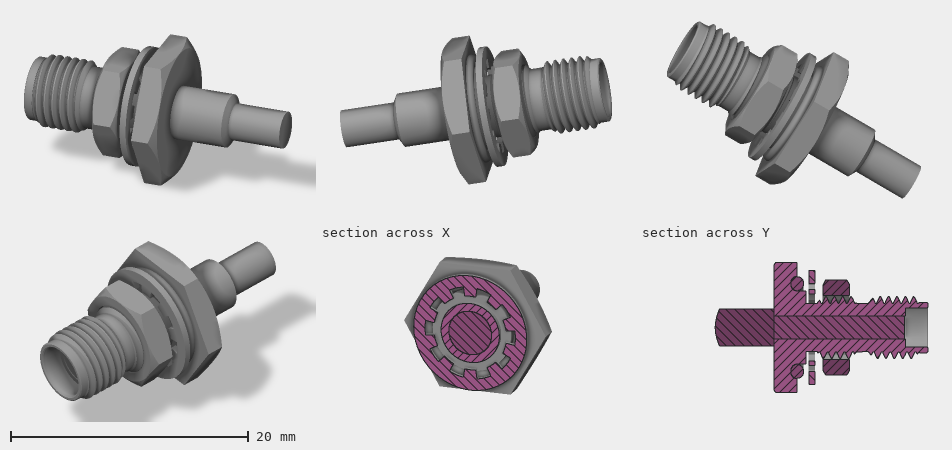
import cadquery as cq
import math

TOTAL_LENGTH = 22.5

TEN_TURNS = 7.06
PITCH = TEN_TURNS / 10
CREST_RADIUS = 3.1
ROOT_RADIUS = 2.63
CREST_WIDTH = 0.1
THREAD_HALF_ANGLE = 30.0
FRONT_RUN = (0.75, 5.02)
REAR_RUN = (6.0, 9.34)
CREST_OFFSET = 0.035
RIDGE_OVERLAP = 0.034

LIP_RADIUS = 2.7
LIP_CHAMFER = 0.1
BORE_RADIUS = 2.3
BORE_DEPTH = 1.9
HEX_START = 10.98
HEX_THICKNESS = 2.0
HEX_END = HEX_START + HEX_THICKNESS
HEX_FLATS = 11.0
HEX_CHAMFER_RADIUS = 5.47
SHOULDER_START = 10.24
SHOULDER_RADIUS = 3.5
SHOULDER_FLAT = 3.13

HEX_CHAMFER_ANGLE = 30.0

INSULATOR_RADIUS = 1.9
INSULATOR_RECESS = 0.1

NUT_START = 6.6
NUT_THICKNESS = 2.25
NUT_FLATS = 8.0
NUT_CHAMFER_RADIUS = 3.95
NUT_BORE_RADIUS = CREST_RADIUS + 0.02

WASHER_START = 9.5
WASHER_THICKNESS = 0.55
WASHER_RADIUS = 5.08
TOOTH_TIP_RADIUS = 3.25
TOOTH_ROOT_RADIUS = 4.03
TOOTH_COUNT = 10

ORING_SECTION_RADIUS = 0.55
ORING_RADIUS = SHOULDER_RADIUS + ORING_SECTION_RADIUS

FERRULE_RADIUS = 2.27
FERRULE_TAPER_START = 17.55
FERRULE_TAPER_ANGLE = 60.0
TAIL_RADIUS = 1.58


def tan(degrees):
    return math.tan(math.radians(degrees))


def cylinder(start, end, radius):
    return cq.Workplane("YZ", origin=(start, 0, 0)).circle(radius).extrude(end - start)


def revolved(points):
    """Solid of revolution about X from (x, radius) points."""
    return cq.Workplane("XY").polyline(points).close().revolve(360, (0, 0, 0), (1, 0, 0))


def hexagon(start, thickness, flats, chamfer_radius, chamfer_front):
    """Hexagonal prism with corners on +Y and -Y, its rear (and front) corners turned to a cone."""
    corner_radius = flats / math.sqrt(3)
    chamfer_length = (corner_radius - chamfer_radius) * tan(HEX_CHAMFER_ANGLE)
    end = start + thickness
    prism = cq.Workplane("YZ", origin=(start, 0, 0)).polygon(6, 2 * corner_radius).extrude(thickness)
    front = [(start, corner_radius)]
    if chamfer_front:
        front = [(start, chamfer_radius), (start + chamfer_length, corner_radius)]
    rear = [(end - chamfer_length, corner_radius), (end, chamfer_radius)]
    return prism.intersect(revolved([(start, 0), *front, *rear, (end, 0)]))


def thread_ridge(crest_start, length):
    """Trapezoidal helical ridge along X; its crest starts on the -Z side at crest_start."""
    base_radius = ROOT_RADIUS - RIDGE_OVERLAP
    crest_half = CREST_WIDTH / 2
    base_half = crest_half + (CREST_RADIUS - base_radius) * tan(THREAD_HALF_ANGLE)
    helix = cq.Workplane(cq.Wire.makeHelix(PITCH, length, ROOT_RADIUS))
    section = cq.Workplane("XZ").polyline([
        (base_radius, -base_half),
        (CREST_RADIUS, -crest_half),
        (CREST_RADIUS, crest_half),
        (base_radius, base_half),
    ]).close()
    ridge = section.sweep(helix, isFrenet=True)
    return ridge.rotate((0, 0, 0), (0, 1, 0), 90).translate((crest_start, 0, 0))


def thread_run(start, end):
    """Threaded rod from start to end, with a 45 degree lead-in at both ends."""
    crest_start = start + CREST_OFFSET - 2 * PITCH
    ridge_length = end + PITCH - crest_start
    rod = cylinder(crest_start - PITCH, end + 2 * PITCH, ROOT_RADIUS)
    rise = 2 * (CREST_RADIUS - ROOT_RADIUS)
    envelope = revolved([
        (start, 0),
        (start, ROOT_RADIUS),
        (start + rise, ROOT_RADIUS + rise),
        (end - rise, ROOT_RADIUS + rise),
        (end, ROOT_RADIUS),
        (end, 0),
    ])
    return rod.union(thread_ridge(crest_start, ridge_length)).intersect(envelope)


def make_oring():
    """Torus about X, tangent to the round part of the shoulder."""
    return (
        cq.Workplane("XY")
        .center(HEX_START, ORING_RADIUS)
        .circle(ORING_SECTION_RADIUS)
        .revolve(360, (-HEX_START, -ORING_RADIUS, 0), (0.22 - HEX_START, -ORING_RADIUS, 0))
    )


def make_shell():
    front_start, front_end = FRONT_RUN
    rear_start, rear_end = REAR_RUN
    lip = revolved([
        (0, 0),
        (0, LIP_RADIUS - LIP_CHAMFER),
        (LIP_CHAMFER, LIP_RADIUS),
        (front_start, LIP_RADIUS),
        (front_start, 0),
    ])
    neck = cylinder(front_end, rear_start, ROOT_RADIUS)
    rear_neck = cylinder(rear_end, HEX_START, ROOT_RADIUS)
    shoulder = cylinder(SHOULDER_START, HEX_START, SHOULDER_RADIUS)
    above_flat = cq.Workplane("XY", origin=(SHOULDER_START, 0, SHOULDER_FLAT)).rect(
        2 * (HEX_START - SHOULDER_START), 2 * SHOULDER_RADIUS
    ).extrude(SHOULDER_RADIUS)
    flange = hexagon(HEX_START, HEX_THICKNESS, HEX_FLATS, HEX_CHAMFER_RADIUS, chamfer_front=False)
    mating_bore = revolved([
        (0, 0),
        (0, BORE_RADIUS + LIP_CHAMFER),
        (LIP_CHAMFER, BORE_RADIUS),
        (BORE_DEPTH, BORE_RADIUS),
        (BORE_DEPTH, 0),
    ])
    return (
        lip
        .union(thread_run(front_start, front_end))
        .union(neck)
        .union(thread_run(rear_start, rear_end))
        .union(rear_neck)
        .union(shoulder.cut(above_flat))
        .union(flange)
        .cut(make_oring())
        .cut(mating_bore)
        .cut(cylinder(BORE_DEPTH, HEX_END, INSULATOR_RADIUS))
    )


def make_insulator():
    return cylinder(BORE_DEPTH + INSULATOR_RECESS, HEX_END, INSULATOR_RADIUS)


def make_nut():
    body = hexagon(NUT_START, NUT_THICKNESS, NUT_FLATS, NUT_CHAMFER_RADIUS, chamfer_front=True)
    return body.cut(cylinder(NUT_START, NUT_START + NUT_THICKNESS, NUT_BORE_RADIUS))


def make_washer():
    """Ring whose inner edge has teeth as wide as the gaps between them, one tooth on +Z."""
    end = WASHER_START + WASHER_THICKNESS
    pitch_angle = 360 / TOOTH_COUNT
    washer = cylinder(WASHER_START, end, WASHER_RADIUS).cut(cylinder(WASHER_START, end, TOOTH_TIP_RADIUS))
    half_gap = math.radians(pitch_angle / 4)
    y = TOOTH_ROOT_RADIUS * math.sin(half_gap)
    z = TOOTH_ROOT_RADIUS * math.cos(half_gap)
    gap = (
        cq.Workplane("YZ", origin=(WASHER_START, 0, 0))
        .lineTo(-y, z)
        .threePointArc((0, TOOTH_ROOT_RADIUS), (y, z))
        .close()
        .extrude(WASHER_THICKNESS)
    )
    for index in range(TOOTH_COUNT):
        washer = washer.cut(gap.rotate((0, 0, 0), (1, 0, 0), (index + 0.5) * pitch_angle))
    return washer


def make_ferrule():
    taper_length = (FERRULE_RADIUS - TAIL_RADIUS) / tan(FERRULE_TAPER_ANGLE)
    return revolved([
        (HEX_END, 0),
        (HEX_END, FERRULE_RADIUS),
        (FERRULE_TAPER_START, FERRULE_RADIUS),
        (FERRULE_TAPER_START + taper_length, TAIL_RADIUS),
        (TOTAL_LENGTH, TAIL_RADIUS),
        (TOTAL_LENGTH, 0),
    ])


shell = make_shell()
insulator = make_insulator()
nut = make_nut()
washer = make_washer()
oring = make_oring()
ferrule = make_ferrule()

bodies = [shell, insulator, nut, washer, oring, ferrule]
result = cq.Compound.makeCompound([body.solids().val() for body in bodies])